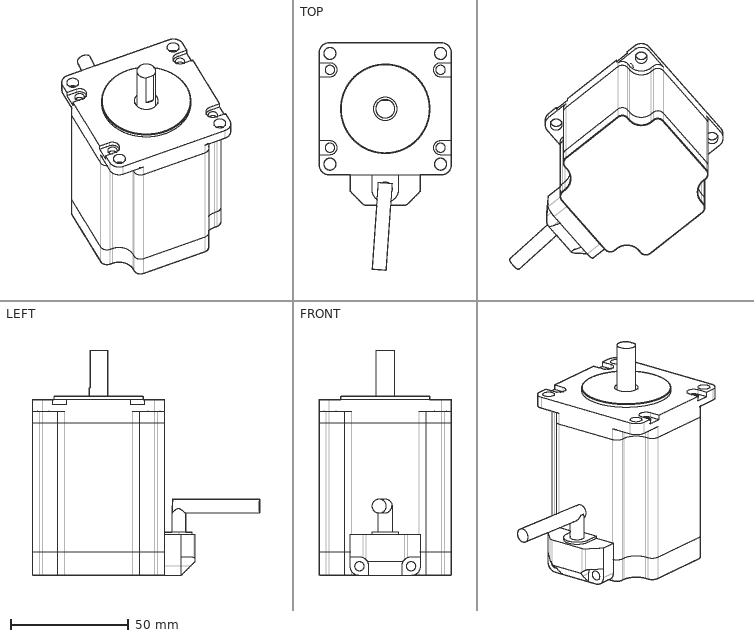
import cadquery as cq
import math

frame_width = 56.4
half_width = frame_width / 2
flange_top = 75.0
flange_thickness = 5.0
cap_height = 10.0
flange_bottom = flange_top - flange_thickness
front_cap_bottom = flange_top - cap_height
rear_edge_chamfer = 0.3

flange_corner_radius = 4.3
groove_radius = 6.5
groove_lip_radius = 3.0
groove_depth = flange_corner_radius + groove_radius
groove_reach = groove_depth + groove_lip_radius

pilot_diameter = 38.1
pilot_height = 1.6
pilot_chamfer = 0.3
pilot_top = flange_top + pilot_height
shaft_bore_diameter = 10.0
mount_offset = 23.6
mount_hole_diameter = 5.0
slot_offset_y = 16.6
slot_width = 6.0
slot_depth = 2.0
slot_hole_diameter = 4.0
slot_hole_depth = 2.5

shaft_top = 96.0
shaft_diameter = 8.0
shaft_flat_distance = 3.6
shaft_flat_length = 16.0

block_width = 30.0
block_height = 17.6
block_depth = 13.0
block_chamfer = 6.0
block_edge_radius = 2.0
ear_depth = block_depth - block_chamfer
ear_radius = 4.0
ear_hole_diameter = 4.0
ear_offset = block_width / 2 - ear_radius

grommet_radius = 5.7
grommet_thickness = 1.0
grommet_top = block_height + grommet_thickness
cable_diameter = 6.0
riser_standoff = 6.0
riser_y = -half_width - riser_standoff
cable_axis_z = 29.6
cable_angle = math.radians(4)
cable_length = 37.1
overall_depth = 97
cable_end_y = half_width - overall_depth


def arc_middle(center, radius, degrees):
    """Point on a circle, used as the middle point of an arc."""
    angle = math.radians(degrees)
    return (center[0] + radius * math.cos(angle), center[1] + radius * math.sin(angle))


def cylinder(diameter, bottom, top, x=0, y=0):
    return cq.Workplane("XY", origin=(x, y, bottom)).circle(diameter / 2).extrude(top - bottom)


def square_block(bottom, top):
    return cq.Workplane("XY", origin=(0, 0, bottom)).rect(frame_width, frame_width).extrude(top - bottom)


def cut_corner_grooves(body, bottom, top):
    """Cut the rounded groove out of the four vertical edges between two heights."""
    lip_middle = arc_middle((groove_reach, groove_lip_radius), groove_lip_radius, 225)
    groove_middle = arc_middle((flange_corner_radius, flange_corner_radius), groove_radius, 45)
    groove = (
        cq.Workplane("XY")
        .lineTo(groove_reach, 0)
        .threePointArc(lip_middle, (groove_depth, groove_lip_radius))
        .lineTo(groove_depth, flange_corner_radius)
        .threePointArc(groove_middle, (flange_corner_radius, groove_depth))
        .lineTo(groove_lip_radius, groove_depth)
        .threePointArc(lip_middle[::-1], (0, groove_reach))
        .close()
        .extrude(top - bottom)
        .translate((-half_width, -half_width, bottom))
    )
    for quarter in range(4):
        body = body.cut(groove.rotate((0, 0, 0), (0, 0, 1), 90 * quarter))
    return body


def make_front_cap():
    cap = square_block(front_cap_bottom, flange_top).edges("|Z").fillet(flange_corner_radius)
    cap = cut_corner_grooves(cap, front_cap_bottom, flange_bottom)

    pilot = cylinder(pilot_diameter, flange_top, pilot_top).faces(">Z").chamfer(pilot_chamfer)
    cap = cap.union(pilot)
    cap = cap.cut(cylinder(shaft_bore_diameter, front_cap_bottom, pilot_top))

    slot_floor = flange_top - slot_depth
    slot_length = half_width - mount_offset
    for side_x in (-1, 1):
        for side_y in (-1, 1):
            x = side_x * mount_offset
            slot_y = side_y * slot_offset_y
            mount_hole = cylinder(mount_hole_diameter, flange_bottom, flange_top, x, side_y * mount_offset)
            slot_end = cylinder(slot_width, slot_floor, flange_top, x, slot_y)
            slot_run = cq.Workplane("XY").box(slot_length, slot_width, slot_depth, centered=(True, True, False))
            slot_run = slot_run.translate((x + side_x * slot_length / 2, slot_y, slot_floor))
            slot_hole = cylinder(slot_hole_diameter, slot_floor - slot_hole_depth, slot_floor, x, slot_y)
            cap = cap.cut(mount_hole).cut(slot_end).cut(slot_run).cut(slot_hole)
    return cap


def make_stator():
    return cut_corner_grooves(square_block(cap_height, front_cap_bottom), cap_height, front_cap_bottom)


def make_rear_cap():
    cap = cut_corner_grooves(square_block(0, cap_height), 0, cap_height)
    return cap.faces("<Z").chamfer(rear_edge_chamfer)


def make_shaft():
    """Shaft standing on the stator, with a flat on the +Y side of its free end."""
    shaft = cylinder(shaft_diameter, front_cap_bottom, shaft_top)
    flat_cut = (
        cq.Workplane("XY", origin=(0, shaft_flat_distance, shaft_top - shaft_flat_length))
        .box(shaft_diameter, shaft_diameter, shaft_flat_length, centered=(True, False, False))
    )
    return shaft.cut(flat_cut)


def make_connector_block():
    """Block with sloped front edges and two screw ears set back at its lower corners."""
    front_y = -half_width - block_depth
    block = (
        cq.Workplane("XY", origin=(0, -half_width - block_depth / 2, 0))
        .box(block_width, block_depth, block_height, centered=(True, True, False))
        .edges("|Z and <Y").chamfer(block_chamfer)
        .edges("|Z and <Y").fillet(block_edge_radius)
    )

    underside_cut = (
        cq.Workplane("YZ", origin=(-block_width / 2, 0, 0))
        .moveTo(front_y, 0)
        .lineTo(front_y + block_chamfer, 0)
        .lineTo(front_y, block_chamfer)
        .close()
        .extrude(block_width)
    )
    block = block.cut(underside_cut).edges("|Y and <Z").edges("<X or >X").fillet(ear_radius)

    for side in (-1, 1):
        ear_center = cq.Workplane("XZ", origin=(side * ear_offset, -half_width, ear_radius))
        recess = (
            ear_center.workplane(offset=ear_depth)
            .rect(2 * ear_radius, 2 * ear_radius)
            .extrude(block_chamfer)
            .edges("|Y and >Z").edges("<X" if side > 0 else ">X").fillet(ear_radius)
        )
        hole = ear_center.circle(ear_hole_diameter / 2).extrude(ear_depth)
        block = block.cut(recess).cut(hole)
    return block


def make_grommet():
    """Thin plate with a round front end on top of the block, reaching back to the motor."""
    return (
        cq.Workplane("XY", origin=(0, 0, block_height))
        .moveTo(-grommet_radius, -half_width)
        .lineTo(-grommet_radius, riser_y)
        .threePointArc((0, riser_y - grommet_radius), (grommet_radius, riser_y))
        .lineTo(grommet_radius, -half_width)
        .close()
        .extrude(grommet_thickness)
    )


def make_cable():
    """Level cable leading away from the motor, turned slightly towards -X."""
    radius = cable_diameter / 2
    direction = cq.Vector(-math.sin(cable_angle), -math.cos(cable_angle), 0)
    start_y = cable_end_y + radius * math.sin(cable_angle) + cable_length * math.cos(cable_angle)
    start = cq.Vector(0, start_y, cable_axis_z)
    return cq.Workplane(cq.Solid.makeCylinder(radius, cable_length, start, direction))


def make_riser(cable):
    """Upright from the grommet to the cable axis, hollowed at the top to seat the cable."""
    return cylinder(cable_diameter, grommet_top, cable_axis_z, 0, riser_y).cut(cable)


front_cap = make_front_cap()
stator = make_stator()
rear_cap = make_rear_cap()
shaft = make_shaft()
connector_block = make_connector_block()
grommet = make_grommet()
cable = make_cable()
riser = make_riser(cable)

result = cq.Compound.makeCompound([
    front_cap.val(),
    stator.val(),
    rear_cap.val(),
    shaft.val(),
    connector_block.val(),
    grommet.val(),
    riser.val(),
    cable.val(),
])